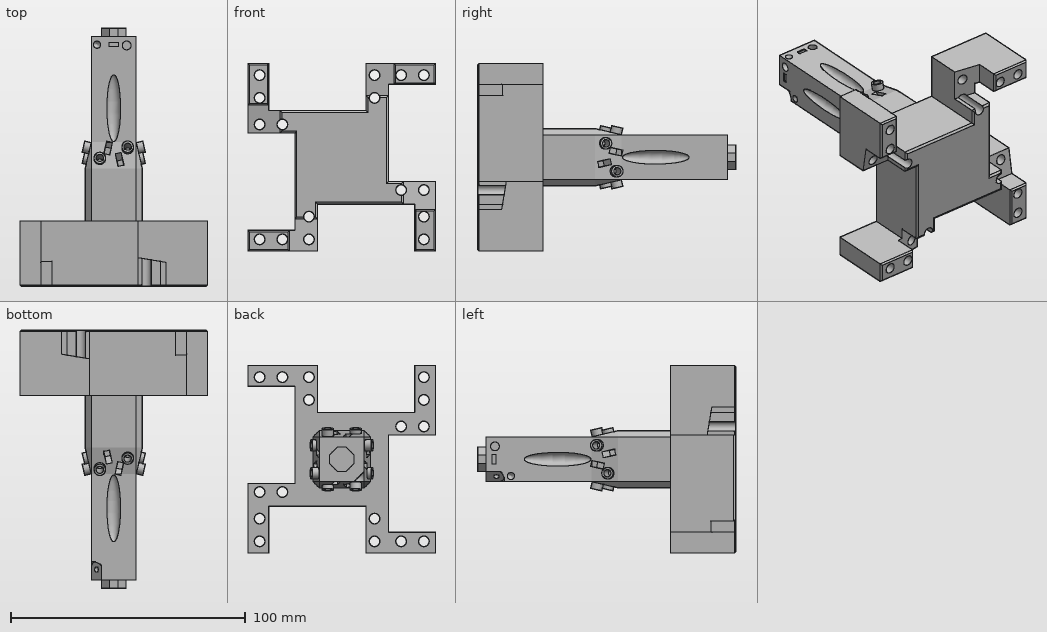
import cadquery as cq
import math

base_width = 80.0
base_back = 27.9
base_half = base_width / 2
core_half = 20.0
arm_width = 8.9
leg_inner = 10.2
pad_end = 22.2
tongue_end = 26.4
recess_depth_shallow = 10.2
recess_slope = 9.5
core_chamfer_depth = 0.7
core_chamfer_width = 1.0
pad_chamfer_depth = 0.7
pad_chamfer_width = 0.7

hole_diameter = 4.4
hole_outer = 35.0
hole_middle = 25.3
hole_inner = 14.0

stem_width = 19.1
lower_stem_width = 24.4
taper_start = 50.2
taper_end = 61.4
stem_end = 106.5
cap_width = 10.6
cap_corner = 3.5
cap_end = 110.0
stem_half = stem_width / 2
lower_half = lower_stem_width / 2

groove_length = 28.4
groove_width = 5.9
groove_center = 75.9

head_diameter = 5.0
head_embed = 1.6
socket_diameter = 3.1
socket_depth = 8.8
screw_offset = 5.9
screws = [(screw_offset, 58.8, 2.9), (-screw_offset, 54.3, 1.8)]

notch_width = 2.5
notch_length = 5.6
notch_tilt = 13.0
notch_floor_slope = 15.0
notches = [
    (-2.4, 59.0, -notch_tilt, 2.2, 2.1),
    (2.5, 54.1, notch_tilt, 2.5, 3.2),
]

taper_angle = math.degrees(math.atan2(lower_half - stem_half, taper_end - taper_start))


def box(x_range, y_range, z_range):
    """Axis-aligned block between pairs of limits."""
    lower, upper = zip(x_range, y_range, z_range)
    size = [b - a for a, b in zip(lower, upper)]
    return cq.Workplane("XY").box(*size, centered=False).translate(lower)


def around_stem(shape):
    """Four copies of a shape, turned about the stem axis."""
    return [shape.rotate((0, 0, 0), (0, 1, 0), -90 * turn) for turn in range(4)]


def plate(width, y_start, y_end):
    """Square prism centred on the stem axis."""
    half = width / 2
    return box((-half, half), (y_start, y_end), (-half, half))


def make_core():
    """Central square with four tongues, bevelled around the front face."""
    core = plate(2 * core_half, 0, base_back)
    tongue = box((-tongue_end, -leg_inner), (0, base_back), (leg_inner, core_half))
    for copy in around_stem(tongue):
        core = core.union(copy)
    return core.faces("<Y").chamfer(core_chamfer_width, core_chamfer_depth)


def make_arm():
    """Upper left arm: bevelled pad and a leg recessed behind a sloped face."""
    bar_x = (-base_half, arm_width - base_half)
    pad = box(bar_x, (0, base_back), (pad_end, base_half))
    pad = pad.faces("<Y").chamfer(pad_chamfer_depth, pad_chamfer_width)
    deep = recess_depth_shallow + (pad_end - leg_inner) * math.tan(math.radians(recess_slope))
    leg_profile = [
        (recess_depth_shallow, pad_end),
        (base_back, pad_end),
        (base_back, leg_inner),
        (deep, leg_inner),
    ]
    leg = cq.Workplane("YZ", origin=(-base_half, 0, 0)).polyline(leg_profile).close()
    leg = leg.extrude(base_half - leg_inner)
    inner_corner = box((arm_width - base_half, 0), (0, base_back), (core_half, base_half))
    return pad.union(leg.cut(inner_corner))


def arm_holes():
    """Drills for the four through holes of the upper left arm."""
    centers = [
        (-hole_outer, hole_outer),
        (-hole_outer, hole_middle),
        (-hole_outer, hole_inner),
        (-hole_middle, hole_inner),
    ]
    drill = cq.Workplane("XZ").pushPoints(centers).circle(hole_diameter / 2)
    return drill.extrude(-base_back)


base = make_core()
for arm in around_stem(make_arm()):
    base = base.union(arm)
for holes in around_stem(arm_holes()):
    base = base.cut(holes)


def square_loft(width_start, width_end, turn):
    """Square frustum over the taper, turned about the stem axis."""
    loft = (
        cq.Workplane("XZ", origin=(0, taper_start, 0))
        .rect(width_start, width_start)
        .workplane(offset=taper_start - taper_end)
        .rect(width_end, width_end)
        .loft()
    )
    return loft.rotate((0, 0, 0), (0, 1, 0), turn)


diagonal_lower = (stem_half + lower_half) * math.sqrt(2)
diagonal_upper = stem_width * math.sqrt(2)
lower_stem = plate(lower_stem_width, base_back, taper_start).intersect(
    plate(diagonal_lower, base_back, taper_start).rotate((0, 0, 0), (0, 1, 0), 45)
)
taper = square_loft(lower_stem_width, stem_width, 0).intersect(
    square_loft(diagonal_lower, diagonal_upper, 45)
)
upper_stem = plate(stem_width, taper_end, stem_end)
cap = plate(cap_width, stem_end, cap_end).edges("|Y").chamfer(cap_corner)
stem = lower_stem.union(taper).union(upper_stem).union(cap)


def side_groove():
    ellipse = (
        cq.Workplane("XY")
        .moveTo(0, -groove_length / 2)
        .ellipseArc(groove_width / 2, groove_length / 2, -90, 90, startAtCurrent=True)
        .close()
        .revolve(360, (0, 0, 0), (0, 1, 0))
    )
    return ellipse.translate((0, groove_center, stem_half))


def on_taper_face(shape, x, y):
    """Move a shape built on z = 0 to a spot of the upper taper face."""
    face_z = stem_half + (taper_end - y) * math.tan(math.radians(taper_angle))
    return shape.rotate((0, 0, 0), (1, 0, 0), -taper_angle).translate((x, y, face_z))


def screw_head(height):
    head = cq.Workplane("XY", origin=(0, 0, -head_embed)).circle(head_diameter / 2)
    return head.extrude(head_embed + height)


def screw_socket(height):
    socket = cq.Workplane("XY", origin=(0, 0, height)).circle(socket_diameter / 2)
    return socket.extrude(-socket_depth)


def taper_notch(tilt, ramp_length, ramp_depth):
    """Notch with a ramp at its upper end and a wall at its lower end."""
    half = notch_length / 2
    floor_drop = (notch_length - ramp_length) * math.tan(math.radians(notch_floor_slope))
    profile = [
        (-half, 0),
        (-half, -ramp_depth - floor_drop),
        (half - ramp_length, -ramp_depth),
        (half, 0),
    ]
    wedge = cq.Workplane("YZ", origin=(-notch_width / 2, 0, 0)).polyline(profile).close()
    return wedge.extrude(notch_width).rotate((0, 0, 0), (0, 0, 1), tilt)


for groove in around_stem(side_groove()):
    stem = stem.cut(groove)
for notch_x, notch_y, tilt, ramp_length, ramp_depth in notches:
    cutter = on_taper_face(taper_notch(tilt, ramp_length, ramp_depth), notch_x, notch_y)
    for notch in around_stem(cutter):
        stem = stem.cut(notch)
for screw_x, screw_y, height in screws:
    for head in around_stem(on_taper_face(screw_head(height), screw_x, screw_y)):
        stem = stem.union(head)
    for socket in around_stem(on_taper_face(screw_socket(height), screw_x, screw_y)):
        stem = stem.cut(socket)

pin_diameter = 3.7
pin_depth = 4.4
pin_offset = 5.5
pin_setback = 3.8
label_length = 3.8
label_width = 1.8
label_depth = 0.5
label_setback = 3.5
cone_diameter = 3.1
cone_offset = -7.2
cone_setback_top = 3.5
cone_setback_side = 10.7


def end_marks(cone_setback):
    """Pin hole, label pocket and cone-shaped dimple of the upper stem side."""
    pin = cq.Workplane("XY").center(pin_offset, stem_end - pin_setback)
    pin = pin.circle(pin_diameter / 2).extrude(-pin_depth)
    label = cq.Workplane("XY").center(0, stem_end - label_setback)
    label = label.rect(label_length, label_width).extrude(-label_depth)
    cone_radius = cone_diameter / 2
    cone = cq.Solid.makeCone(
        cone_radius, 0, cone_radius,
        cq.Vector(cone_offset, stem_end - cone_setback, 0), cq.Vector(0, 0, -1),
    )
    return pin.union(label).union(cq.Workplane(obj=cone)).translate((0, 0, stem_half))


stem = stem.cut(end_marks(cone_setback_top))
stem = stem.cut(end_marks(cone_setback_side).rotate((0, 0, 0), (0, 1, 0), -90))

seat_leg = 4.4
seat_radius = 3.4
seat_setback = 4.5
seat_hole_diameter = 2.2
seat_hole_depth = 5.5
seat_center = cq.Vector(seat_leg / 2 - stem_half, stem_end - seat_setback, seat_leg / 2 - stem_half)
seat_plane = cq.Plane(origin=seat_center, xDir=(0, 1, 0), normal=(-1, 0, -1))
seat = cq.Workplane(seat_plane).circle(seat_radius).extrude(seat_leg)
seat_opening = cq.Workplane(seat_plane).center(seat_setback / 2, 0)
seat_opening = seat_opening.rect(seat_setback, 2 * seat_radius).extrude(seat_leg)
seat_hole = cq.Workplane(seat_plane).circle(seat_hole_diameter / 2).extrude(-seat_hole_depth)
stem = stem.cut(seat).cut(seat_opening).cut(seat_hole)

result = base.union(stem)